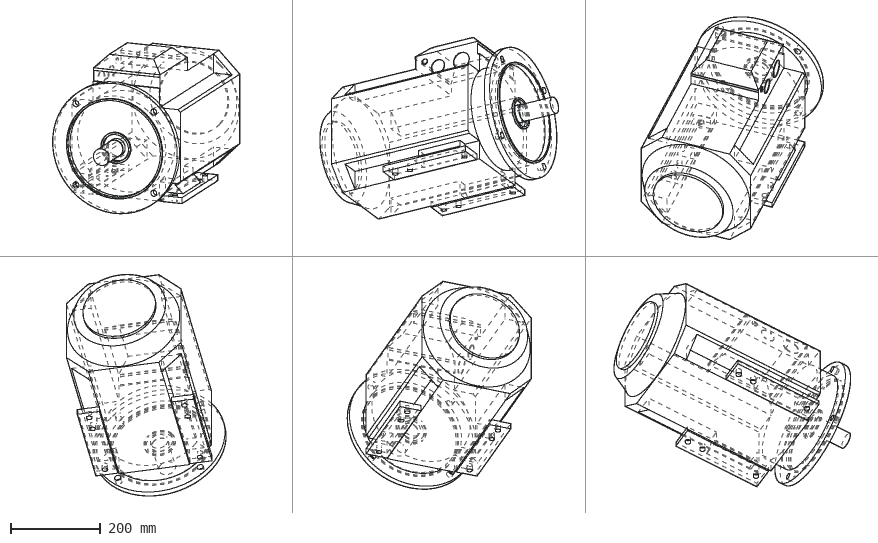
import cadquery as cq


SHAFT_RADIUS = 19.0
SHAFT_LENGTH = 80.0
COLLAR_RADIUS = 20.0

FLANGE_RADIUS = 150.0
FLANGE_THICKNESS = 14.0
BOLT_CIRCLE_RADIUS = 132.5
BOLT_HOLE_DIAMETER = 14.0
BOLT_COUNT = 4
BOLT_START_ANGLE = 45.0
SPIGOT_RADIUS = 115.0
SPIGOT_LENGTH = 4.0
RECESS_RADIUS = 111.0
RECESS_FLOOR_Y = 8.0
HUB_RADIUS = 35.5
HUB_BORE_RADIUS = 31.0
HUB_FACE_Y = 4.0
HUB_FLOOR_Y = 12.0
SHIELD_RADIUS = 117.0

HOUSING_HALF = 130.0
HOUSING_FRONT_Y = 67.0
HOUSING_REAR_Y = 418.5
FLAT_HALF = 80.0
NOTCH_LEDGE = 85.5
NOTCH_REAR_Y = 386.5

COWL_BASE_RADIUS = 127.5
COWL_END_RADIUS = 104.5
COWL_END_Y = 463.0
CAP_RADIUS = 82.5
CAP_END_Y = 470.0

SHAFT_HEIGHT = 132.0
FOOT_OUTER_X = 132.0
FOOT_WIDTH = 50.0
FOOT_THICKNESS = 14.0
FOOT_FRONT_Y = 72.0
FOOT_REAR_Y = 284.0
FOOT_HOLE_X = 108.0
FOOT_HOLE_YS = (89.0, 229.0, 267.0)
FOOT_HOLE_DIAMETER = 12.0
WEB_OUTER_X = 103.0
WEB_BEND_Z = -99.5
WEB_FRONT_Y = 103.5
WEB_REAR_Y = 209.5

BOX_FRONT_Y = 71.0
BOX_REAR_Y = 231.0
BOX_TOP_Z = 154.5
LID_OVERHANG = 1.0
LID_RIM_TOP_Z = 160.5
LID_TOP_Z = 187.5
LID_SLOPE_INSET = 26.5
ENTRY_DEPTH = 1.5
CABLE_ENTRIES = (
    (113.5, 123.0, 20.0),
    (173.5, 123.0, 16.5),
    (207.5, 143.0, 6.5),
)


def disc(radius, start_y, end_y):
    """Cylinder around the shaft axis from start_y to end_y."""
    plane = cq.Workplane("XZ", origin=(0, start_y, 0))
    return plane.circle(radius).extrude(start_y - end_y)


def block(x_range, y_range, z_range):
    """Axis-aligned box between the given limits."""
    (x0, x1), (y0, y1), (z0, z1) = x_range, y_range, z_range
    return cq.Workplane("XY").box(x1 - x0, y1 - y0, z1 - z0, centered=False).translate((x0, y0, z0))


def make_housing():
    length = HOUSING_REAR_Y - HOUSING_FRONT_Y
    side = 2 * HOUSING_HALF
    housing = (
        cq.Workplane("XZ", origin=(0, HOUSING_FRONT_Y, 0))
        .rect(side, side)
        .extrude(-length)
        .edges("|Y")
        .chamfer(HOUSING_HALF - FLAT_HALF)
    )
    for x_side in (-1, 1):
        for z_side in (-1, 1):
            notch = block(
                sorted((x_side * FLAT_HALF, x_side * HOUSING_HALF)),
                (HOUSING_FRONT_Y, NOTCH_REAR_Y),
                sorted((z_side * NOTCH_LEDGE, z_side * HOUSING_HALF)),
            )
            housing = housing.cut(notch)
    return housing


def make_fan_cover():
    profile = [
        (0, HOUSING_REAR_Y),
        (COWL_BASE_RADIUS, HOUSING_REAR_Y),
        (COWL_END_RADIUS, COWL_END_Y),
        (CAP_RADIUS, COWL_END_Y),
        (CAP_RADIUS, CAP_END_Y),
        (0, CAP_END_Y),
    ]
    return cq.Workplane("XY").polyline(profile).close().revolve(360, (0, 0, 0), (0, 1, 0))


def make_drive_end():
    shield = disc(SHIELD_RADIUS, FLANGE_THICKNESS, HOUSING_FRONT_Y)
    flange = disc(FLANGE_RADIUS, 0, FLANGE_THICKNESS)
    spigot = disc(SPIGOT_RADIUS, -SPIGOT_LENGTH, 0)
    recess = disc(RECESS_RADIUS, -SPIGOT_LENGTH, RECESS_FLOOR_Y)
    hub = disc(HUB_RADIUS, HUB_FACE_Y, RECESS_FLOOR_Y)
    hub_bore = disc(HUB_BORE_RADIUS, HUB_FACE_Y, HUB_FLOOR_Y)
    collar = disc(COLLAR_RADIUS, 0, HUB_FLOOR_Y)
    shaft = disc(SHAFT_RADIUS, -SHAFT_LENGTH, 0)
    bolt_holes = (
        cq.Workplane("XZ")
        .polarArray(BOLT_CIRCLE_RADIUS, BOLT_START_ANGLE, 360, BOLT_COUNT)
        .circle(BOLT_HOLE_DIAMETER / 2)
        .extrude(-FLANGE_THICKNESS)
    )
    body = shield.union(flange).union(spigot).cut(recess).cut(bolt_holes)
    return body.union(hub).cut(hub_bore).union(collar).union(shaft)


def make_foot():
    """Foot on the +X side: drilled sole plate and the web joining it to the housing."""
    sole_top = FOOT_THICKNESS - SHAFT_HEIGHT
    inner_x = FOOT_OUTER_X - FOOT_WIDTH
    sole = block(
        (inner_x, FOOT_OUTER_X),
        (FOOT_FRONT_Y, FOOT_REAR_Y),
        (-SHAFT_HEIGHT, sole_top),
    )
    holes = (
        cq.Workplane("XY", origin=(0, 0, -SHAFT_HEIGHT))
        .pushPoints([(FOOT_HOLE_X, y) for y in FOOT_HOLE_YS])
        .circle(FOOT_HOLE_DIAMETER / 2)
        .extrude(FOOT_THICKNESS)
    )
    web_toe_x = WEB_OUTER_X + WEB_BEND_Z - sole_top
    web_profile = [
        (FLAT_HALF, -NOTCH_LEDGE),
        (WEB_OUTER_X, -NOTCH_LEDGE),
        (WEB_OUTER_X, WEB_BEND_Z),
        (web_toe_x, sole_top),
        (FLAT_HALF, sole_top),
    ]
    web = (
        cq.Workplane("XZ", origin=(0, WEB_FRONT_Y, 0))
        .polyline(web_profile)
        .close()
        .extrude(WEB_FRONT_Y - WEB_REAR_Y)
    )
    return sole.cut(holes).union(web)


def make_terminal_box():
    walls_x = (-FLAT_HALF, FLAT_HALF)
    box = block(walls_x, (BOX_FRONT_Y, BOX_REAR_Y), (NOTCH_LEDGE, BOX_TOP_Z))
    lid_rim = block(
        walls_x,
        (BOX_FRONT_Y - LID_OVERHANG, BOX_REAR_Y + LID_OVERHANG),
        (BOX_TOP_Z, LID_RIM_TOP_Z),
    )
    width = 2 * FLAT_HALF
    length = BOX_REAR_Y - BOX_FRONT_Y
    lid_top = (
        cq.Workplane("XY", origin=(0, (BOX_FRONT_Y + BOX_REAR_Y) / 2, LID_RIM_TOP_Z))
        .rect(width, length)
        .workplane(offset=LID_TOP_Z - LID_RIM_TOP_Z)
        .rect(width - 2 * LID_SLOPE_INSET, length - 2 * LID_SLOPE_INSET)
        .loft(ruled=True)
    )
    return box.union(lid_rim).union(lid_top)


def make_cable_entry(y, z, radius):
    """Shallow round recess in the -X wall of the terminal box."""
    wall = cq.Workplane("YZ", origin=(-FLAT_HALF, y, z))
    return wall.circle(radius).extrude(ENTRY_DEPTH)


foot = make_foot()
result = (
    make_housing()
    .union(make_fan_cover())
    .union(make_drive_end())
    .union(foot)
    .union(foot.mirror("YZ"))
    .union(make_terminal_box())
)
for entry_y, entry_z, entry_radius in CABLE_ENTRIES:
    result = result.cut(make_cable_entry(entry_y, entry_z, entry_radius))